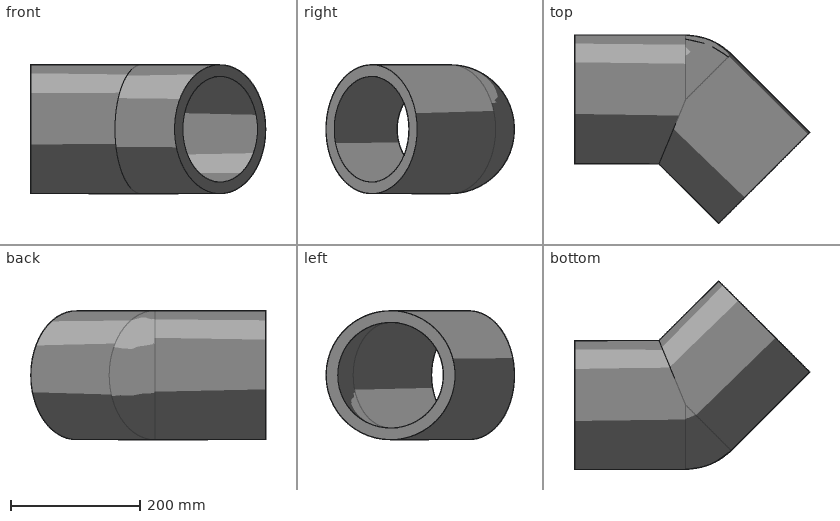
import cadquery as cq
import math

overall_length = 364.5
outer_diameter = 200.0
bore_diameter = 163.5
bend_angle = 45.0

bend = math.radians(bend_angle)
end_face_reach = outer_diameter / 2 * math.sin(bend)
leg_length = (overall_length - end_face_reach) / (1 + math.cos(bend))


def straight_leg(diameter):
    """Cylinder from the joint at the origin to the open end at -X."""
    return cq.Workplane("YZ").circle(diameter / 2).extrude(-leg_length)


def bent_leg(diameter):
    """Cylinder from the joint at the origin, turned from +X towards -Y."""
    leg = cq.Workplane("YZ").circle(diameter / 2).extrude(leg_length)
    return leg.rotate((0, 0, 0), (0, 0, 1), -bend_angle)


def corner_wedge(diameter):
    """Slice of a sphere filling the gap between the legs on the outer side."""
    radius = diameter / 2
    half_disc = (
        cq.Workplane("YZ")
        .moveTo(0, -radius)
        .threePointArc((radius, 0), (0, radius))
        .close()
    )
    return half_disc.revolve(bend_angle, (0, radius), (0, -radius))


def elbow_solid(diameter):
    """Solid elbow of one diameter, used for both the body and the bore."""
    return straight_leg(diameter).union(bent_leg(diameter)).union(corner_wedge(diameter))


result = elbow_solid(outer_diameter).cut(elbow_solid(bore_diameter))